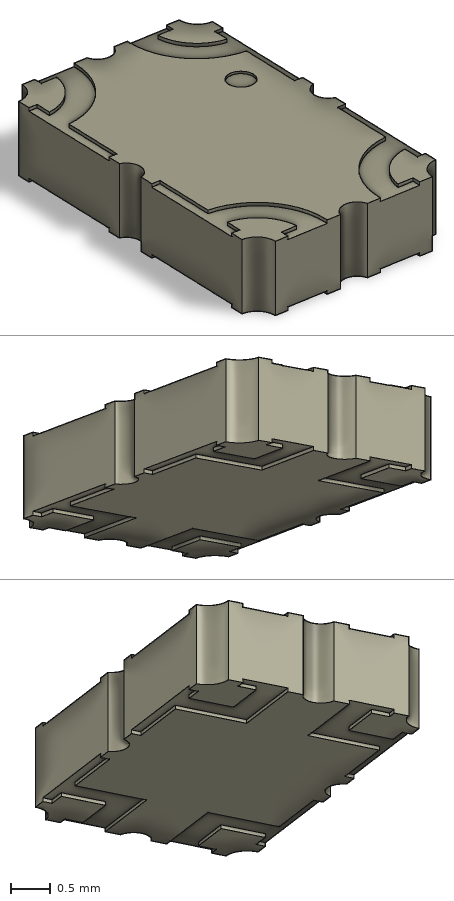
import cadquery as cq
import math

length = 5.08
width = 3.17
height = 1.09

corner_notch_radius = 0.3
side_notch_half_width = 0.22
side_notch_depth = 0.165

recess_depth = 0.05
strip_width = 0.13
strip_start = 0.51
strip_gap = 0.43
pad_size = 0.76
recess_size = 1.15
arc_inset = 0.045

mark_diameter = 0.4
mark_x = -0.89
mark_y = 0.95
mark_depth = 0.035

corners = [(sx, sy) for sx in (-1, 1) for sy in (-1, 1)]


def box_between(x_range, y_range, z_floor, depth):
    """Box over the given X and Y ranges, rising from z_floor."""
    size_x = x_range[1] - x_range[0]
    size_y = y_range[1] - y_range[0]
    box = cq.Workplane("XY").box(size_x, size_y, depth, centered=False)
    return box.translate((x_range[0], y_range[0], z_floor))


def cylinder(radius, x, y, z_floor, depth):
    return cq.Workplane("XY").circle(radius).extrude(depth).translate((x, y, z_floor))


def notched_block():
    """Block with round notches at its four corners and the middle of its four sides."""
    block = cq.Workplane("XY").box(length, width, height, centered=(True, True, False))
    for sx, sy in corners:
        block = block.cut(cylinder(corner_notch_radius, sx * length / 2, sy * width / 2, 0, height))

    notch_radius = (side_notch_half_width**2 + side_notch_depth**2) / (2 * side_notch_depth)
    offset = notch_radius - side_notch_depth
    for side in (-1, 1):
        block = block.cut(cylinder(notch_radius, side * (length / 2 + offset), 0, 0, height))
        block = block.cut(cylinder(notch_radius, 0, side * (width / 2 + offset), 0, height))
    return block


def rounded_square(size, z_floor):
    """Square plate at the origin whose far corner is rounded about the inset arc centre."""
    radius = size - arc_inset
    arc_middle = arc_inset + radius * math.sqrt(0.5)
    outline = (
        cq.Workplane("XY", origin=(0, 0, z_floor))
        .lineTo(size, 0)
        .lineTo(size, arc_inset)
        .threePointArc((arc_middle, arc_middle), (arc_inset, size))
        .lineTo(0, size)
        .close()
    )
    return outline.extrude(recess_depth)


def square(size, z_floor):
    return box_between((0, size), (0, size), z_floor, recess_depth)


def corner_recess(plate, z_floor):
    """Recess for a corner at the origin, lying in +X +Y: a band plus the two edge strips.

    plate is the function that gives the shape of the pad and of the band around it.
    """
    pad = plate(pad_size, z_floor)
    long_strip = box_between((strip_start, length / 2 - strip_gap), (0, strip_width), z_floor, recess_depth)
    short_strip = box_between((0, strip_width), (strip_start, pad_size), z_floor, recess_depth)
    return plate(recess_size, z_floor).cut(pad).union(long_strip).union(short_strip)


def at_corner(recess, sx, sy):
    """Mirror a recess so that it faces inward and move it to the corner on side (sx, sy)."""
    if sx > 0:
        recess = recess.mirror("YZ")
    if sy > 0:
        recess = recess.mirror("XZ")
    return recess.translate((sx * length / 2, sy * width / 2, 0))


top_recess = corner_recess(rounded_square, height - recess_depth)
bottom_recess = corner_recess(square, 0)

result = notched_block()
for sx, sy in corners:
    result = result.cut(at_corner(top_recess, sx, sy))
    result = result.cut(at_corner(bottom_recess, sx, sy))

orientation_mark = cylinder(mark_diameter / 2, mark_x, mark_y, height - mark_depth, mark_depth)
result = result.cut(orientation_mark)